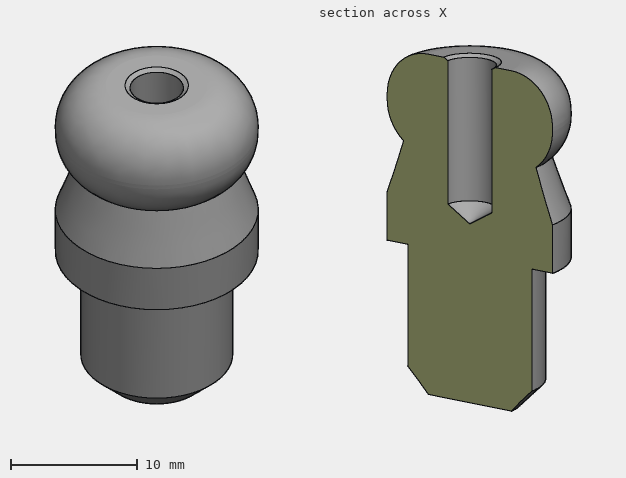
import cadquery as cq
import math

height = 28.0
head_radius = height * 2 / 7
head_corner_radius = head_radius / 2

shank_radius = head_radius * 3 / 4
tip_chamfer = head_radius / 4

collar_bottom = head_radius * 3 / 2
collar_top = head_radius * 2
neck_radius = 6.4

band_top = height - head_corner_radius
band_width = 0.35
band_bottom = band_top - band_width

hole_radius = 2.1
hole_mouth_radius = 2.5
mouth_angle = 120.0
mouth_depth = (hole_mouth_radius - hole_radius) / math.tan(math.radians(mouth_angle / 2))
hole_depth = 12.0
drill_point_angle = 118.0


def point_on_corner(center_height, angle):
    """Point on a head corner arc, with the angle in radians above horizontal."""
    radius = head_radius - head_corner_radius + head_corner_radius * math.cos(angle)
    return (radius, center_height + head_corner_radius * math.sin(angle))


def make_body():
    neck_reach = neck_radius - (head_radius - head_corner_radius)
    neck_angle = -math.acos(neck_reach / head_corner_radius)
    neck_point = point_on_corner(band_bottom, neck_angle)
    return (
        cq.Workplane("XZ")
        .lineTo(shank_radius - tip_chamfer, 0)
        .lineTo(shank_radius, tip_chamfer)
        .lineTo(shank_radius, collar_bottom)
        .lineTo(head_radius, collar_bottom)
        .lineTo(head_radius, collar_top)
        .lineTo(*neck_point)
        .threePointArc(point_on_corner(band_bottom, neck_angle / 2), (head_radius, band_bottom))
        .lineTo(head_radius, band_top)
        .threePointArc(
            point_on_corner(band_top, math.pi / 4),
            (head_radius - head_corner_radius, height),
        )
        .lineTo(0, height)
        .close()
        .revolve(360, (0, 0, 0), (0, 1, 0))
    )


def make_hole():
    floor = height - hole_depth
    point_depth = hole_radius / math.tan(math.radians(drill_point_angle / 2))
    return (
        cq.Workplane("XZ")
        .moveTo(0, floor - point_depth)
        .lineTo(hole_radius, floor)
        .lineTo(hole_radius, height - mouth_depth)
        .lineTo(hole_mouth_radius, height)
        .lineTo(0, height)
        .close()
        .revolve(360, (0, 0, 0), (0, 1, 0))
    )


result = make_body().cut(make_hole())